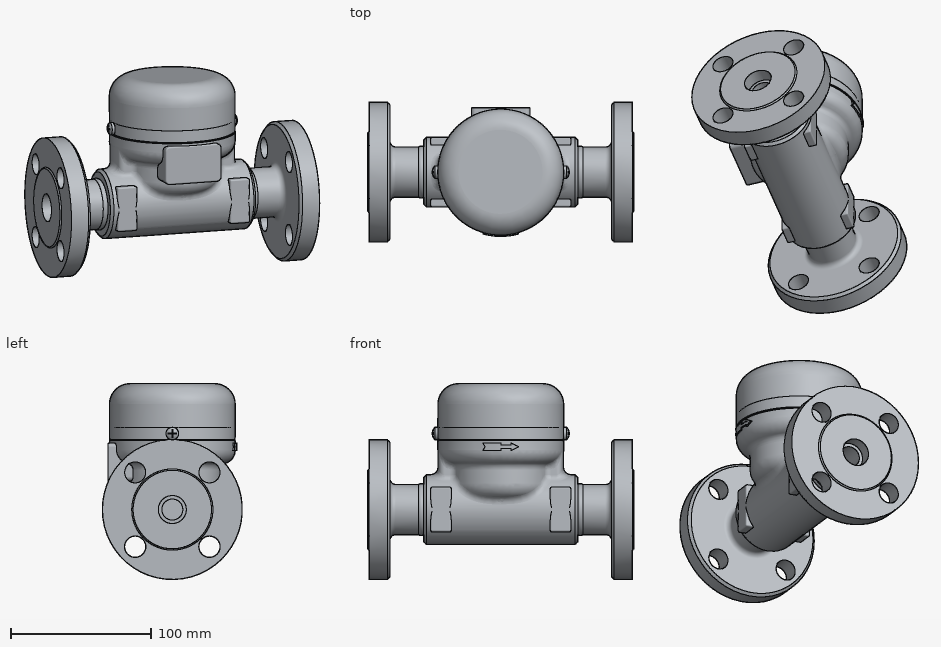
import cadquery as cq
import math

diagonal = math.sqrt(0.5)

tolerance = 0.01

face_to_face = 190.0
flange_diameter = 100.0
raised_face_height = 1.0
raised_face_base_diameter = 58.0
raised_face_tip_diameter = 56.0
flange_thickness = 15.0
flange_chamfer = 2.0
bolt_circle_diameter = 75.0
bolt_hole_diameter = 15.0
bolt_hole_count = 4
bolt_start_angle = 45.0
neck_diameter = 36.0
neck_fillet = 4.0
weld_bead_width = 3.6
weld_bead_height = 0.6
tube_diameter = 50.0
tube_length = 110.0
tube_chamfer = 2.0

half_length = face_to_face / 2
flange_front = half_length - raised_face_height
flange_back = flange_front - flange_thickness
flange_radius = flange_diameter / 2
neck_radius = neck_diameter / 2
tube_radius = tube_diameter / 2
tube_end = tube_length / 2
straight_tube_end = tube_end - tube_chamfer

bore_diameter = 20.0
bore_depth = 10.0
inner_bore_diameter = 15.0
inner_bore_depth = 40.0

chamber_radius = 35.0
chamber_round = 10.0
chamber_round_top = 18.3
bowl_radius = 45.0
bowl_round = 10.0
bowl_round_top = 42.5
blend_radius = 5.0
joint_height = 50.0
joint_gap = 0.8
bowl_top = joint_height - joint_gap
spigot_diameter = 88.6
spigot_height = 8.5

column_radius = 44.9
column_width = 25.0
column_corner_radius = 4.0
column_inner_x = 20.0

pad_inner_x = 35.3
pad_outer_x = 50.0
pad_height = 32.0
pad_fillet = 1.2

boss_width = 42.0
boss_bottom = 20.2
boss_top = 47.5
boss_face_y = 46.0
boss_root_y = 10.0
boss_corner_radius = 3.2
boss_edge_fillet = 1.0

arrow_center_height = 44.8
arrow_half_height = 2.7
arrow_shaft_half_height = 1.2
arrow_tail_x = -12.8
arrow_notch_x = -11.2
arrow_tail_end_x = 0.0
arrow_head_x = 7.4
arrow_tip_x = 12.8
arrow_relief = 1.0

cover_top = 90.0
cover_round = 15.0

screw_head_diameter = 9.0
screw_rim_end = 47.0
screw_tip = 49.0
screw_height = joint_height + spigot_height / 2
cross_slot_length = 6.0
cross_slot_width = 0.8
cross_slot_depth = 1.0
screw_radius = screw_head_diameter / 2
screw_seat = math.sqrt(bowl_radius**2 - screw_radius**2)


def make_pipe_end(side):
    """Chamfered tube end, weld bead, neck and flange, revolved about X; side is -1 or +1 along X."""
    bead_end = tube_end + weld_bead_width
    fillet_mid = neck_fillet * (1 - diagonal)
    profile = (
        cq.Workplane("XY")
        .moveTo(-straight_tube_end, 0)
        .lineTo(-straight_tube_end, tube_radius)
        .lineTo(-tube_end, tube_radius - tube_chamfer)
        .lineTo(-tube_end, neck_radius)
        .threePointArc(
            (-(tube_end + weld_bead_width / 2), neck_radius + weld_bead_height),
            (-bead_end, neck_radius),
        )
        .lineTo(-(flange_back - neck_fillet), neck_radius)
        .threePointArc(
            (-(flange_back - fillet_mid), neck_radius + fillet_mid),
            (-flange_back, neck_radius + neck_fillet),
        )
        .lineTo(-flange_back, flange_radius - flange_chamfer)
        .lineTo(-(flange_back + flange_chamfer), flange_radius)
        .lineTo(-flange_front, flange_radius)
        .lineTo(-flange_front, raised_face_base_diameter / 2)
        .lineTo(-half_length, raised_face_tip_diameter / 2)
        .lineTo(-half_length, 0)
        .close()
    )
    pipe_end = profile.revolve(360, (0, 0, 0), (1, 0, 0))
    bolt_holes = (
        cq.Workplane("YZ", origin=(-half_length, 0, 0))
        .polarArray(bolt_circle_diameter / 2, bolt_start_angle, 360, bolt_hole_count)
        .circle(bolt_hole_diameter / 2)
        .extrude(half_length - flange_back)
    )
    pipe_end = pipe_end.cut(bolt_holes)
    return pipe_end if side < 0 else pipe_end.mirror("YZ")


def make_chamber():
    """Chamber and bowl, joined by a reverse curve, with the spigot on top."""
    bowl_center_r = bowl_radius - bowl_round
    blend_center_r = chamber_radius + blend_radius
    reach = bowl_round + blend_radius
    slope = math.asin((blend_center_r - bowl_center_r) / reach)
    blend_center_z = bowl_round_top - reach * math.cos(slope)
    arc_middle = (slope + math.pi / 2) / 2

    def bowl_point(angle):
        radius = bowl_center_r + bowl_round * math.sin(angle)
        return (radius, bowl_round_top - bowl_round * math.cos(angle))

    def blend_point(angle):
        radius = blend_center_r - blend_radius * math.sin(angle)
        return (radius, blend_center_z + blend_radius * math.cos(angle))

    chamber_center_r = chamber_radius - chamber_round
    round_corner = chamber_round * diagonal
    chamber_bottom = chamber_round_top - round_corner
    profile = (
        cq.Workplane("YZ")
        .moveTo(0, chamber_bottom)
        .lineTo(chamber_center_r - round_corner, chamber_bottom)
        .threePointArc(
            (chamber_center_r + round_corner, chamber_bottom),
            (chamber_radius, chamber_round_top),
        )
        .lineTo(chamber_radius, blend_center_z)
        .threePointArc(blend_point(arc_middle), blend_point(slope))
        .threePointArc(bowl_point(arc_middle), (bowl_radius, bowl_round_top))
        .lineTo(bowl_radius, bowl_top)
        .lineTo(spigot_diameter / 2, bowl_top)
        .lineTo(spigot_diameter / 2, joint_height + spigot_height)
        .lineTo(0, joint_height + spigot_height)
        .close()
    )
    return profile.revolve(360, (0, 0, 0), (0, 1, 0))


def make_column(side):
    """Round-backed column between bowl and tube; side is -1 or +1 along X."""
    half_width = column_width / 2
    edge_x = math.sqrt(column_radius**2 - half_width**2)
    column = (
        cq.Workplane("XY")
        .moveTo(column_inner_x, -half_width)
        .lineTo(edge_x, -half_width)
        .threePointArc((column_radius, 0), (edge_x, half_width))
        .lineTo(column_inner_x, half_width)
        .close()
        .extrude(bowl_top)
    )
    column = column.edges("|Z").edges(">X").fillet(column_corner_radius)
    return column if side > 0 else column.mirror("YZ")


def foot_edges(casting):
    """Edges where the chamber and the columns meet the round of the tube."""
    samples = (0.1, 0.4, 0.6, 0.9)

    def on_tube(edge):
        points = [edge.positionAt(t) for t in samples]
        return all(
            abs(math.hypot(p.y, p.z) - tube_radius) < tolerance and p.z > 0 and abs(p.x) < bowl_radius
            for p in points
        )

    return [edge for edge in casting.edges().vals() if on_tube(edge)]


def inner_corner_edges(casting):
    """Upright edges where the flat column sides meet the chamber."""
    return [
        edge
        for edge in casting.edges("|Z").vals()
        if abs(abs(edge.Center().y) - column_width / 2) < tolerance and abs(edge.Center().x) < chamber_radius
    ]


def make_casting():
    """Chamber, columns and straight tube, with blends where they meet."""
    casting = make_chamber()
    for side in (-1, 1):
        casting = casting.union(make_column(side))
    casting = casting.union(cq.Workplane("YZ").circle(tube_radius).extrude(straight_tube_end, both=True))
    return casting.newObject(inner_corner_edges(casting) + foot_edges(casting)).fillet(blend_radius)


def make_pad(side_x, side_y):
    """Flat pad flush with the widest line of the tube."""
    pad = (
        cq.Workplane("XY")
        .box(pad_outer_x - pad_inner_x, tube_radius, pad_height, centered=(False, False, True))
        .translate((pad_inner_x, 0, 0))
        .edges("|Y or (>Y and (|X or |Z))")
        .fillet(pad_fillet)
    )
    if side_x < 0:
        pad = pad.mirror("YZ")
    return pad if side_y > 0 else pad.mirror("XZ")


def make_boss():
    """Rounded nameplate boss standing out of the rear of the chamber."""
    boss = (
        cq.Workplane("XZ", origin=(0, boss_face_y, 0))
        .center(0, (boss_bottom + boss_top) / 2)
        .rect(boss_width, boss_top - boss_bottom)
        .extrude(boss_face_y - boss_root_y)
    )
    return boss.edges("|Y").fillet(boss_corner_radius).faces(">Y").edges().fillet(boss_edge_fillet)


def make_arrow():
    """Raised arrow that follows the round of the bowl and points to +X."""
    outline = [
        (arrow_tail_x, arrow_half_height),
        (arrow_tail_end_x, arrow_half_height),
        (arrow_tail_end_x, arrow_shaft_half_height),
        (arrow_head_x, arrow_shaft_half_height),
        (arrow_head_x, arrow_half_height),
        (arrow_tip_x, 0),
        (arrow_head_x, -arrow_half_height),
        (arrow_head_x, -arrow_shaft_half_height),
        (arrow_tail_end_x, -arrow_shaft_half_height),
        (arrow_tail_end_x, -arrow_half_height),
        (arrow_tail_x, -arrow_half_height),
        (arrow_notch_x, 0),
    ]
    prism = (
        cq.Workplane("XZ", origin=(0, -chamber_radius, 0))
        .center(0, arrow_center_height)
        .polyline(outline)
        .close()
        .extrude(bowl_radius + arrow_relief - chamber_radius)
    )
    envelope = cq.Workplane("XY").circle(bowl_radius + arrow_relief).extrude(bowl_top)
    return prism.intersect(envelope)


def make_bore(side):
    """Stepped blind bore from a flange face inwards; side is -1 or +1 along X."""
    bore = (
        cq.Workplane("YZ", origin=(-half_length, 0, 0))
        .circle(inner_bore_diameter / 2)
        .extrude(inner_bore_depth)
        .union(cq.Workplane("YZ", origin=(-half_length, 0, 0)).circle(bore_diameter / 2).extrude(bore_depth))
    )
    return bore if side < 0 else bore.mirror("YZ")


def make_body():
    """Casting with pipe ends, pads, nameplate boss and arrow, bored from both flanges."""
    body = make_casting()
    for side_x in (-1, 1):
        body = body.union(make_pipe_end(side_x))
        for side_y in (-1, 1):
            body = body.union(make_pad(side_x, side_y))
    body = body.union(make_boss()).union(make_arrow())
    for side in (-1, 1):
        body = body.cut(make_bore(side))
    return body


def make_screw(side):
    """Domed screw head with a cross recess, seated flat in the cover rim; side is -1 or +1 along X."""
    dome_height = screw_tip - screw_rim_end
    dome_radius = (screw_radius**2 + dome_height**2) / (2 * dome_height)
    dome_mid = screw_radius / 2
    dome_mid_x = screw_tip - dome_radius + math.sqrt(dome_radius**2 - dome_mid**2)
    head = (
        cq.Workplane("XY")
        .moveTo(screw_seat, 0)
        .lineTo(screw_seat, screw_radius)
        .lineTo(screw_rim_end, screw_radius)
        .threePointArc((dome_mid_x, dome_mid), (screw_tip, 0))
        .close()
        .revolve(360, (0, 0, 0), (1, 0, 0))
    )
    recess = (
        cq.Workplane("YZ", origin=(screw_tip - cross_slot_depth, 0, 0))
        .rect(cross_slot_length, cross_slot_width)
        .extrude(cross_slot_depth)
        .union(
            cq.Workplane("YZ", origin=(screw_tip - cross_slot_depth, 0, 0))
            .rect(cross_slot_width, cross_slot_length)
            .extrude(cross_slot_depth)
        )
    )
    screw = head.cut(recess).translate((0, 0, screw_height))
    return screw if side > 0 else screw.mirror("YZ")


def make_cover():
    """Domed cover with a socket for the body spigot and flat seats for the screws."""
    cover = (
        cq.Workplane("XY", origin=(0, 0, joint_height))
        .circle(bowl_radius)
        .extrude(cover_top - joint_height)
        .faces(">Z")
        .edges()
        .fillet(cover_round)
    )
    socket = (
        cq.Workplane("XY", origin=(0, 0, joint_height)).circle(spigot_diameter / 2).extrude(spigot_height)
    )
    seats = (
        cq.Workplane("YZ", origin=(0, 0, screw_height)).circle(screw_radius).extrude(bowl_radius, both=True)
    )
    core = cq.Workplane("YZ", origin=(0, 0, screw_height)).circle(screw_radius).extrude(screw_seat, both=True)
    return cover.cut(socket).cut(seats.cut(core))


body = make_body()
cover = make_cover()
screws = [make_screw(side) for side in (-1, 1)]

result = cq.Compound.makeCompound([body.val(), cover.val(), *[screw.val() for screw in screws]])